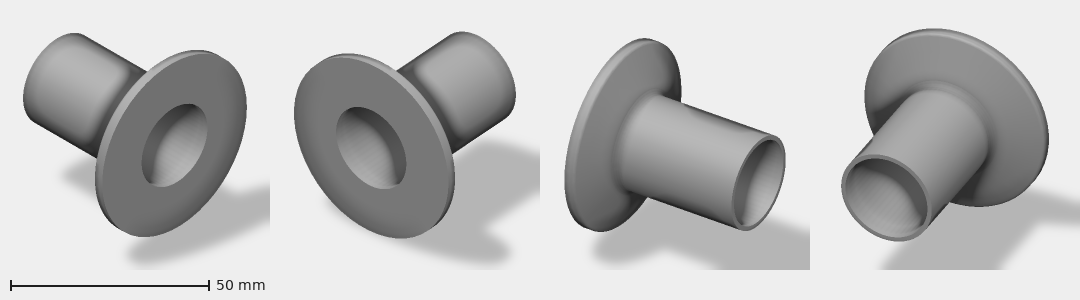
import cadquery as cq
import math

total_length = 42.0
bore_diameter = 23.0
tube_diameter = 25.4
flange_diameter = 50.5
rim_thickness = 2.9
cone_angle = 20.0
neck_fillet = 2.0
rim_fillet = 0.8

bore_radius = bore_diameter / 2
tube_radius = tube_diameter / 2
flange_radius = flange_diameter / 2
rim_start = total_length - rim_thickness
cone_length = (flange_radius - tube_radius) * math.tan(math.radians(cone_angle))
cone_start = rim_start - cone_length


def ferrule_blank():
    """Tube and conical flange revolved about the X axis, with sharp corners."""
    return (
        cq.Workplane("XY")
        .moveTo(0, bore_radius)
        .lineTo(0, tube_radius)
        .lineTo(cone_start, tube_radius)
        .lineTo(rim_start, flange_radius)
        .lineTo(total_length, flange_radius)
        .lineTo(total_length, bore_radius)
        .close()
        .revolve(360, (0, 0, 0), (1, 0, 0))
    )


def circle_at(x, radius):
    """Selector for the circular edge at axial position x."""
    margin = 0.05
    reach = radius + margin
    return cq.selectors.BoxSelector(
        (x - margin, -reach, -reach), (x + margin, reach, reach), boundingbox=True
    )


ferrule = ferrule_blank()
ferrule = ferrule.edges(circle_at(cone_start, tube_radius)).fillet(neck_fillet)
ferrule = ferrule.edges(circle_at(rim_start, flange_radius)).fillet(rim_fillet)

result = ferrule